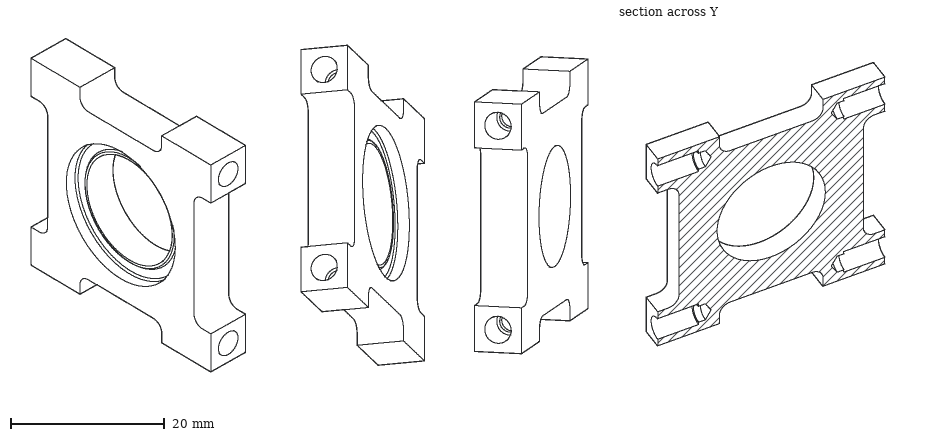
import cadquery as cq
import math

width = 33.53
thickness = 6.35
height = 33.03
front_y = -thickness / 2

notch_depth = 3.12
notch_radius = 1.58
top_notch_width = 15.22
side_notch_height = 20.85

seat_radius = 10.15
seat_depth = 1.58
relief_outer_radius = 9.85
relief_inner_radius = 8.55
relief_depth = 1.85
rim_radius = 8.3
rim_depth = 1.58
bore_radius = 7.95

hole_edge_distance = 3.02
hole_radius = 1.78
hole_depth = 6.05
pilot_radius = 1.37
pilot_depth = 7.05
drill_tip_angle = 118.0


def notch(length_x, length_z, x, z):
    """Cutter through the thickness, with rounded corners."""
    block = cq.Workplane("XY").box(length_x, thickness, length_z).edges("|Y").fillet(notch_radius)
    return block.translate((x, 0, z))


def bearing_bore():
    """Through bore with a bearing seat and a bevelled relief groove around a raised rim."""
    profile = [
        (0, front_y),
        (seat_radius, front_y),
        (seat_radius, front_y + seat_depth),
        (relief_outer_radius, front_y + relief_depth),
        (relief_inner_radius, front_y + relief_depth),
        (rim_radius, front_y + rim_depth),
        (bore_radius, front_y + rim_depth),
        (bore_radius, -front_y),
        (0, -front_y),
    ]
    return cq.Workplane("XY").polyline(profile).close().revolve(360, (0, 0, 0), (0, 1, 0))


def lug_hole(z):
    """Blind hole from the -X face, narrowing to a pilot with a conical end."""
    tip_length = pilot_radius / math.tan(math.radians(drill_tip_angle / 2))
    profile = [
        (0, 0),
        (0, hole_radius),
        (hole_depth, hole_radius),
        (hole_depth, pilot_radius),
        (pilot_depth, pilot_radius),
        (pilot_depth + tip_length, 0),
    ]
    hole = cq.Workplane("XY").polyline(profile).close().revolve(360, (0, 0, 0), (1, 0, 0))
    return hole.translate((-width / 2, 0, z))


result = cq.Workplane("XY").box(width, thickness, height)

for side in (-1, 1):
    result = result.cut(notch(top_notch_width, 2 * notch_depth, 0, side * height / 2))
    result = result.cut(notch(2 * notch_depth, side_notch_height, side * width / 2, 0))

result = result.cut(bearing_bore())

for side in (-1, 1):
    hole = lug_hole(side * (height / 2 - hole_edge_distance))
    result = result.cut(hole).cut(hole.mirror("YZ"))